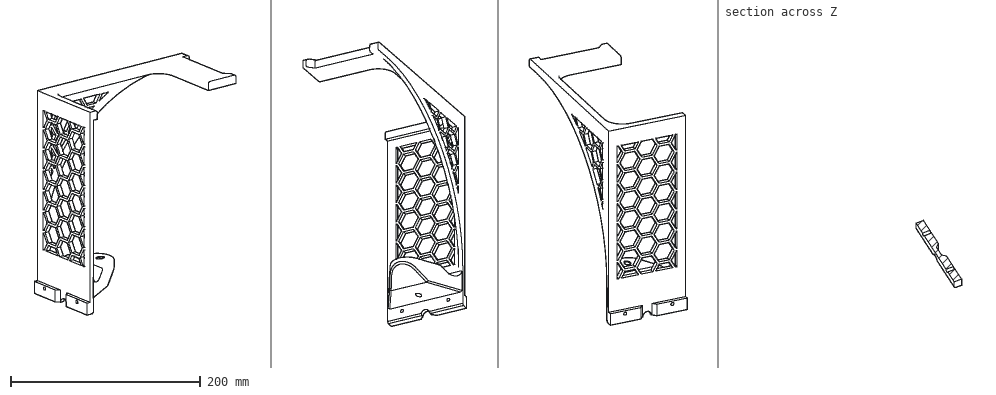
import cadquery as cq
import math


WIDTH = 90.0
HEIGHT = 226
REACH = 196.8
WALL = 5.0
ARCH_RADIUS = 170.0
TIP_THICKNESS = 10.0
ARCH_CENTER_Y = WALL + ARCH_RADIUS
ARCH_CENTER_Z = HEIGHT - TIP_THICKNESS - ARCH_RADIUS
TIP_TOP_RADIUS = 3.0
TIP_BOTTOM_RADIUS = 1.4
WALL_TOE_CHAMFER = 1.8

RIM_WIDTH = 10.0
BAR_INNER_Y = 159.3
OPENING_RADIUS = 20.1
OPENING_FILLET = 2.7

RECESS_DEPTH = 7.0
RECESS_END_X = 78.9
RECESS_FILLET = 2.0

FRAME_MARGIN = 10.0
WINDOW_TOP_Z = HEIGHT - 2 * FRAME_MARGIN
BACK_WINDOW_HEIGHT = 155.5
CELL_RIB = 3.0
CELL_PITCH = 23.0
CELL_SIDES = 6
CELL_HALF_ANGLE = math.pi / CELL_SIDES
CELLS_EACH_WAY = 4
SIDE_WINDOW_Y = WALL + FRAME_MARGIN
SIDE_CELL_Y = 29.5
SIDE_CELL_Z = 184.2

FOOT_DEPTH = 4.0
FOOT_HEIGHT = 13.5
FOOT_GAP = 11.3
FOOT_BEVEL = 3.6
NOTCH_DIAMETER = 10.0
NOTCH_CENTER_Z = 0.2
PIN_HOLE_DIAMETER = 3.5
PIN_HOLE_SPACING = 55.1
PIN_HOLE_Z = 10.2

ARM_BOTTOM_Z = 15.8
ARM_TOP_Z = 41.0
ARM_TIP_Y = 63.3
ARM_TIP_RADIUS = 18
ARM_TAPER_ANGLE = 30
ARM_TOP_FILLET = 2.0
ARM_BOTTOM_CHAMFER = 1.5
ARM_SLOPE = 40
ARM_BEVEL_START_Y = 41.8
GROOVE_RADIUS = 10.0
GROOVE_BOTTOM_Z = 31.9
ARM_HOLE_DIAMETER = 5.5
ARM_HOLE_Y = 49.3
ARM_HOLE_MOUTH_CHAMFER = 0.7

MID_X = WIDTH / 2
RECESS_FLOOR_Y = REACH - RECESS_DEPTH


def bracket_blank():
    """Back wall and top plate under one quarter-circle arch, across the full width."""
    diagonal = ARCH_RADIUS * math.sqrt(0.5)
    blank = (
        cq.Workplane("YZ")
        .moveTo(0, 0)
        .lineTo(0, HEIGHT)
        .lineTo(REACH, HEIGHT)
        .lineTo(REACH, HEIGHT - TIP_THICKNESS)
        .lineTo(ARCH_CENTER_Y, HEIGHT - TIP_THICKNESS)
        .threePointArc(
            (ARCH_CENTER_Y - diagonal, ARCH_CENTER_Z + diagonal),
            (WALL, ARCH_CENTER_Z),
        )
        .lineTo(WALL, WALL_TOE_CHAMFER)
        .lineTo(WALL - WALL_TOE_CHAMFER, 0)
        .close()
        .extrude(WIDTH)
    )
    tip_edges = blank.faces(">Y").edges("|X")
    blank = tip_edges.edges(">Z").fillet(TIP_TOP_RADIUS)
    return blank.faces(">Y").edges("<Z").fillet(TIP_BOTTOM_RADIUS)


def interior():
    """Space under the top plate, behind the back wall and the side web."""
    return (
        cq.Workplane("XY")
        .box(WIDTH, REACH, HEIGHT - TIP_THICKNESS, centered=False)
        .translate((WALL, WALL, 0))
    )


def opening():
    """Vertical opening through the top plate, running out at the +X side."""
    run_out = 2 * OPENING_RADIUS
    return (
        cq.Workplane("XY")
        .box(WIDTH + run_out, BAR_INNER_Y - RIM_WIDTH, HEIGHT, centered=False)
        .edges("|Z")
        .fillet(OPENING_RADIUS)
        .translate((RIM_WIDTH, RIM_WIDTH, 0))
    )


def round_opening_rim(body):
    """Round the top edges of the opening, leaving the outer edges of the plate sharp."""
    near_corner = (WALL, WALL, 0)
    far_corner = (WIDTH - WALL, BAR_INNER_Y + WALL, HEIGHT + WALL)
    rim = cq.selectors.BoxSelector(near_corner, far_corner)
    return body.faces(">Z").edges(rim).fillet(OPENING_FILLET)


def bar_recess():
    """Shallow recess in the outer edge of the bar, sloped at its +X end."""
    return (
        cq.Workplane("XY")
        .moveTo(RIM_WIDTH, RECESS_FLOOR_Y)
        .lineTo(RECESS_END_X, RECESS_FLOOR_Y)
        .lineTo(RECESS_END_X + RECESS_DEPTH, REACH)
        .lineTo(RIM_WIDTH, REACH)
        .close()
        .extrude(HEIGHT)
    )


def round_recess_edge(body):
    """Round the top edge along the recess floor."""
    edge = cq.selectors.NearestToPointSelector((MID_X, RECESS_FLOOR_Y, HEIGHT))
    return body.edges(edge).fillet(RECESS_FILLET)


def honeycomb(plane, center, depth):
    """Grid of hexagonal cells around a centre, each with two level sides."""
    cell_diameter = (CELL_PITCH - CELL_RIB) / math.cos(CELL_HALF_ANGLE)
    column_pitch = CELL_PITCH * math.cos(CELL_HALF_ANGLE)
    points = []
    for column in range(-CELLS_EACH_WAY, CELLS_EACH_WAY + 1):
        shift = CELL_PITCH / 2 if column % 2 else 0
        for row in range(-CELLS_EACH_WAY, CELLS_EACH_WAY + 1):
            points.append((center[0] + column * column_pitch, center[1] + row * CELL_PITCH + shift))
    return cq.Workplane(plane).pushPoints(points).polygon(CELL_SIDES, cell_diameter).extrude(depth)


def back_window():
    """Honeycomb bounded by a rectangle in the back wall."""
    center = (MID_X, WINDOW_TOP_Z - BACK_WINDOW_HEIGHT / 2)
    window = (
        cq.Workplane("XZ")
        .center(*center)
        .rect(WIDTH - 2 * FRAME_MARGIN, BACK_WINDOW_HEIGHT)
        .extrude(-WALL)
    )
    return window.intersect(honeycomb("XZ", center, -WALL))


def side_window():
    """Honeycomb bounded by two straight sides and an arc concentric with the arch."""
    corner_square = (
        cq.Workplane("YZ")
        .moveTo(SIDE_WINDOW_Y, ARCH_CENTER_Z)
        .lineTo(SIDE_WINDOW_Y, WINDOW_TOP_Z)
        .lineTo(ARCH_CENTER_Y, WINDOW_TOP_Z)
        .lineTo(ARCH_CENTER_Y, ARCH_CENTER_Z)
        .close()
        .extrude(WALL)
    )
    arch_disc = (
        cq.Workplane("YZ")
        .center(ARCH_CENTER_Y, ARCH_CENTER_Z)
        .circle(ARCH_RADIUS + FRAME_MARGIN)
        .extrude(WALL)
    )
    cells = honeycomb("YZ", (SIDE_CELL_Y, SIDE_CELL_Z), WALL)
    return corner_square.cut(arch_disc).intersect(cells)


def foot():
    """Ledge on the outer face of the back wall, split by a gap that widens outward."""
    half_gap = FOOT_GAP / 2
    ledge = (
        cq.Workplane("XY")
        .box(WIDTH, FOOT_DEPTH, FOOT_HEIGHT, centered=False)
        .translate((0, -FOOT_DEPTH, 0))
    )
    gap = (
        cq.Workplane("XY")
        .moveTo(MID_X - half_gap, 0)
        .lineTo(MID_X + half_gap, 0)
        .lineTo(MID_X + half_gap + FOOT_BEVEL, -FOOT_DEPTH)
        .lineTo(MID_X - half_gap - FOOT_BEVEL, -FOOT_DEPTH)
        .close()
        .extrude(FOOT_HEIGHT)
    )
    return ledge.cut(gap)


def foot_holes():
    """Round notch in the bottom edge and a pin hole on either side of it."""
    depth = FOOT_DEPTH + WALL
    start = cq.Workplane("XZ", origin=(MID_X, -FOOT_DEPTH, 0))
    notch = start.center(0, NOTCH_CENTER_Z).circle(NOTCH_DIAMETER / 2).extrude(-depth)
    half_spacing = PIN_HOLE_SPACING / 2
    pin_places = [(-half_spacing, PIN_HOLE_Z), (half_spacing, PIN_HOLE_Z)]
    pins = start.pushPoints(pin_places).circle(PIN_HOLE_DIAMETER / 2).extrude(-depth)
    return notch.union(pins)


def arm():
    """Tapered arm with a round tip and a sloping underside, before the groove and hole."""
    taper = math.radians(ARM_TAPER_ANGLE)
    tip_center_y = ARM_TIP_Y - ARM_TIP_RADIUS
    tangent_x = ARM_TIP_RADIUS * math.cos(taper)
    tangent_y = tip_center_y + ARM_TIP_RADIUS * math.sin(taper)
    root_x = tangent_x + (tangent_y - WALL) * math.tan(taper)
    body = (
        cq.Workplane("XY", origin=(MID_X, 0, ARM_BOTTOM_Z))
        .moveTo(-root_x, WALL)
        .lineTo(-tangent_x, tangent_y)
        .threePointArc((0, ARM_TIP_Y), (tangent_x, tangent_y))
        .lineTo(root_x, WALL)
        .close()
        .extrude(ARM_TOP_Z - ARM_BOTTOM_Z)
    )
    rise = (ARM_TIP_Y - ARM_BEVEL_START_Y) * math.tan(math.radians(ARM_SLOPE))
    bevel = (
        cq.Workplane("YZ")
        .moveTo(ARM_BEVEL_START_Y, ARM_BOTTOM_Z)
        .lineTo(ARM_TIP_Y, ARM_BOTTOM_Z)
        .lineTo(ARM_TIP_Y, ARM_BOTTOM_Z + rise)
        .close()
        .extrude(WIDTH)
    )
    body = body.cut(bevel)
    body = body.faces(">Z").edges("not |X").fillet(ARM_TOP_FILLET)
    slope_edges = body.faces(">(0, 1, -1)").edges("not |X")
    underside_edges = body.faces("<Z").edges("not |X").add(slope_edges)
    return underside_edges.chamfer(ARM_BOTTOM_CHAMFER)


def arm_groove():
    """Groove beside the back wall: a round bottom with a tangent ramp up to the top of the arm."""
    slope = math.radians(ARM_SLOPE)
    center_y = WALL + GROOVE_RADIUS
    center_z = GROOVE_BOTTOM_Z + GROOVE_RADIUS
    ramp_bottom_y = center_y + GROOVE_RADIUS * math.sin(slope)
    ramp_bottom_z = center_z - GROOVE_RADIUS * math.cos(slope)
    ramp_top_y = ramp_bottom_y + (center_z - ramp_bottom_z) / math.tan(slope)
    return (
        cq.Workplane("YZ")
        .moveTo(WALL, center_z)
        .threePointArc((center_y, GROOVE_BOTTOM_Z), (ramp_bottom_y, ramp_bottom_z))
        .lineTo(ramp_top_y, center_z)
        .close()
        .extrude(WIDTH)
    )


def drill_arm(body):
    """Sloping hole through the arm, falling toward the back wall, with a chamfered mouth."""
    slope = math.radians(ARM_SLOPE)
    axis = cq.Vector(0, -math.cos(slope), -math.sin(slope))
    mouth = cq.Vector(MID_X, ARM_HOLE_Y, ARM_TOP_Z)
    lead = 2 * ARM_HOLE_DIAMETER
    length = 2 * lead + (ARM_TOP_Z - ARM_BOTTOM_Z) / math.sin(slope)
    drill = cq.Solid.makeCylinder(ARM_HOLE_DIAMETER / 2, length, mouth - axis * lead, axis)
    rim = cq.selectors.NearestToPointSelector(mouth.toTuple())
    return body.cut(cq.Workplane(drill)).edges(rim).chamfer(ARM_HOLE_MOUTH_CHAMFER)


result = bracket_blank().cut(interior()).cut(opening())
result = round_opening_rim(result)
result = result.cut(bar_recess())
result = round_recess_edge(result)
result = result.cut(back_window()).cut(side_window())
result = result.union(foot())
result = result.union(drill_arm(arm().cut(arm_groove())))
result = result.cut(foot_holes())